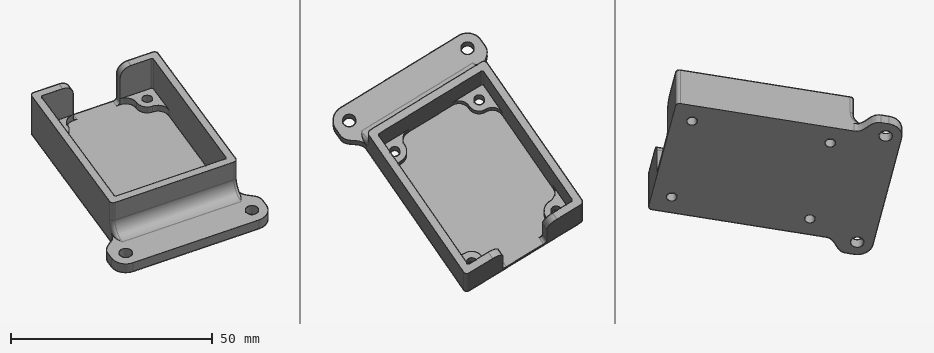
import cadquery as cq
import math

tray_length = 45.0
tray_width = 35.0
tray_height = 13.0
wall = 2.0
floor = 1.0
outer_corner_radius = 1.0
inner_corner_radius = 0.5

slot_width = 13.0
slot_top_radius = 3.0
slot_bottom_radius = 1.0

pad_height = 2.0
pad_size = 6.0
pad_radius = pad_size / 2
pad_hole_diameter = 2.6

flange_length = 12.0
flange_width = 43.0
flange_thickness = 3.0
flange_corner_radius = 4.0
flange_hole_diameter = 3.3
flange_end_flat = 2.0
root_fillet_radius = 4.0

half_tray = tray_width / 2
half_flange = flange_width / 2
flange_end = tray_length + flange_length
flange_hole_x = flange_end - flange_corner_radius
flange_hole_y = half_flange - flange_corner_radius
flare_end_x = flange_hole_x - flange_end_flat
flare_handle = (flare_end_x - tray_length) / 2
cavity_length = tray_length - 2 * wall
cavity_width = tray_width - 2 * wall
cavity_center_x = tray_length / 2

arc_mid = math.sqrt(0.5)
arc_gap = 1 - arc_mid

pick_margin = 0.1


def tray_block():
    """Solid tray body with a concave root, its rounded corners sweeping out onto the flange."""
    root_top_z = flange_thickness + root_fillet_radius
    root_end_x = tray_length + root_fillet_radius
    root_gap = root_fillet_radius * arc_gap
    block = (
        cq.Workplane("XZ")
        .lineTo(flange_hole_x, 0)
        .lineTo(flange_hole_x, flange_thickness)
        .lineTo(root_end_x, flange_thickness)
        .threePointArc((tray_length + root_gap, flange_thickness + root_gap), (tray_length, root_top_z))
        .lineTo(tray_length, tray_height)
        .lineTo(0, tray_height)
        .close()
        .extrude(half_tray, both=True)
    )
    block = block.edges("|Z and <X").fillet(outer_corner_radius)
    chain_region = cq.selectors.BoxSelector(
        (tray_length - pick_margin, -tray_width, flange_thickness - pick_margin),
        (flange_end, tray_width, tray_height - pick_margin),
    )
    return block.edges(chain_region).edges("not |Y").fillet(outer_corner_radius)


def flare_points(side):
    """Bezier control points of the S-curve from a tray side out to the flange side."""
    return [
        (tray_length, side * half_tray),
        (tray_length + flare_handle, side * half_tray),
        (flare_end_x - flare_handle, side * half_flange),
        (flare_end_x, side * half_flange),
    ]


def flange():
    """Flange plate whose ears flare out of the tray sides along S-shaped curves."""
    start_x = tray_length - wall
    corner_mid_x = flange_hole_x + flange_corner_radius * arc_mid
    corner_mid_y = flange_hole_y + flange_corner_radius * arc_mid
    return (
        cq.Workplane("XY")
        .moveTo(start_x, -half_tray)
        .lineTo(tray_length, -half_tray)
        .bezier(flare_points(-1))
        .lineTo(flange_hole_x, -half_flange)
        .threePointArc((corner_mid_x, -corner_mid_y), (flange_end, -flange_hole_y))
        .lineTo(flange_end, flange_hole_y)
        .threePointArc((corner_mid_x, corner_mid_y), (flange_hole_x, half_flange))
        .lineTo(flare_end_x, half_flange)
        .bezier(flare_points(1)[::-1])
        .lineTo(start_x, half_tray)
        .close()
        .extrude(flange_thickness)
    )


def flange_holes():
    """Mounting holes concentric with the rounded flange corners."""
    return (
        cq.Workplane("XY")
        .pushPoints([(flange_hole_x, flange_hole_y), (flange_hole_x, -flange_hole_y)])
        .circle(flange_hole_diameter / 2)
        .extrude(flange_thickness)
    )


def cavity():
    """Open pocket inside the walls, down to the floor."""
    return (
        cq.Workplane("XY", origin=(cavity_center_x, 0, floor))
        .rect(cavity_length, cavity_width)
        .extrude(tray_height - floor)
        .edges("|Z")
        .fillet(inner_corner_radius)
    )


def corner_pads():
    """Four pads, rounded around their holes and blended into the walls."""
    reach = pad_size + pad_radius
    blend_far = reach - pad_radius * arc_mid
    blend_near = pad_radius * arc_gap
    round_mid = pad_radius * (1 + arc_mid)
    overlap = wall / 2
    pad = (
        cq.Workplane("XY")
        .moveTo(-overlap, -overlap)
        .lineTo(reach, -overlap)
        .lineTo(reach, 0)
        .threePointArc((blend_far, blend_near), (pad_size, pad_radius))
        .threePointArc((round_mid, round_mid), (pad_radius, pad_size))
        .threePointArc((blend_near, blend_far), (0, reach))
        .lineTo(-overlap, reach)
        .close()
        .extrude(pad_height)
        .translate((-cavity_length / 2, -cavity_width / 2, 0))
    )
    end_pair = pad.union(pad.mirror("XZ"))
    all_pads = end_pair.union(end_pair.mirror("YZ"))
    return all_pads.translate((cavity_center_x, 0, floor))


def pad_holes():
    """Screw holes through the pads and the floor."""
    return (
        cq.Workplane("XY", origin=(cavity_center_x, 0, 0))
        .rect(cavity_length - pad_size, cavity_width - pad_size, forConstruction=True)
        .vertices()
        .circle(pad_hole_diameter / 2)
        .extrude(floor + pad_height)
    )


def cable_slot():
    """Slot through the end wall, rounded at the bottom and flared at the top."""
    half_slot = slot_width / 2
    half_mouth = half_slot + slot_top_radius
    flare_z = tray_height - slot_top_radius
    flare_mid_y = half_slot + slot_top_radius * arc_gap
    flare_mid_z = flare_z + slot_top_radius * arc_mid
    slot = (
        cq.Workplane("YZ")
        .moveTo(-half_slot, floor)
        .lineTo(half_slot, floor)
        .lineTo(half_slot, flare_z)
        .threePointArc((flare_mid_y, flare_mid_z), (half_mouth, tray_height))
        .lineTo(-half_mouth, tray_height)
        .threePointArc((-flare_mid_y, flare_mid_z), (-half_slot, flare_z))
        .close()
        .extrude(wall)
    )
    return slot.edges("|X and <Z").fillet(slot_bottom_radius)


body = tray_block().union(flange())
tray = body.cut(cavity()).cut(cable_slot()).union(corner_pads())
result = tray.cut(pad_holes()).cut(flange_holes())